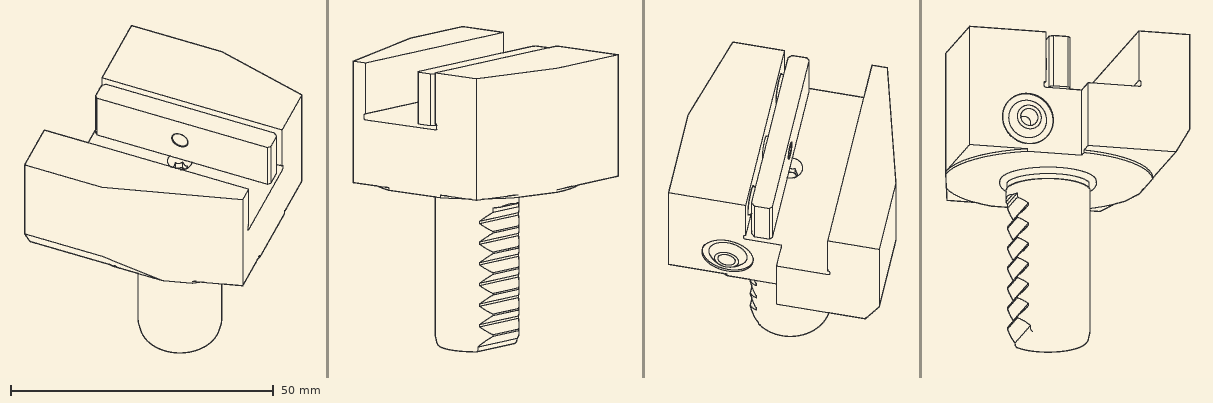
import cadquery as cq
import math


overall_height = 56.0
head_size = 42.0
head_height = 24.0
head_left = -23.0
head_front = -22.0
head_right = head_left + head_size
head_back = head_front + head_size
notch_depth = 5.0
notch_front = -2.0
notched_left = head_left + notch_depth
side_taper = math.tan(math.radians(15))
front_taper_start = -7.1
back_taper_start = 0.55
front_edge_height = 5.2
front_edge_setback = front_edge_height * math.tan(math.radians(30))
seat_radius = head_back
seat_height = 0.5

slot_back = 5.0
slot_front = -12.0
slot_floor = 13.0
relief_depth = 0.4
relief_height = 1.2
relief_radius = 0.35

shank_radius = 8.0
shank_length = overall_height - head_height
neck_radius = 7.8
neck_length = 1.9
lead_in_length = 1.95
lead_in_radius = 7.55
end_fillet = 0.8

tooth_top = 7.0
tooth_depth = 1.6
teeth_start = -4.05
first_valley = -6.7
valley_count = 6
valley_span = 20.0
valley_pitch = valley_span / (valley_count - 1)
valley_flat = 0.45
shoulder_chamfer = 0.4
end_flat = 5.0

seal_section_radius = 0.7
seal_outer_radius = 9.25
seal_ring_radius = seal_outer_radius - seal_section_radius
seal_depth = 0.35

gib_length = 36.0
gib_thickness = 4.1
gib_height = 10.0
gib_gap = 0.9
gib_back_chamfer = 0.7
gib_front_chamfer = 0.5
gib_center_x = (notched_left + head_right) / 2
gib_back = slot_back - gib_gap
gib_floor_gap = 0.55
gib_bottom = slot_floor + gib_floor_gap
gib_hole_radius = 1.55
gib_hole_chamfer = 0.1

screw_axis_z = 18.65
screw_spacing = 26.75
screw_radius = 2.85
screw_tip_radius = 2.1
screw_tip_length = 0.95
screw_tip_bulge = 0.1
screw_length = 10.0
pin_radius = 2.0
pin_length = 10.0

nozzle_y = 8.5
nozzle_z = 6.55
socket_radius = 5.0
collar_recess = 0.4
nozzle_projection = 0.95
nozzle_face_radius = 2.35
ball_radius = 4.4
ball_center_depth = math.sqrt(ball_radius**2 - nozzle_face_radius**2) - nozzle_projection
socket_depth = ball_center_depth + 3.0
bore_mouth_radius = 1.7
bore_end_radius = 1.3
bore_length = 4.0

plug_radius = 2.35
plug_length = 5.0
plug_hex_flats = 2.45
plug_dish_depth = 1.6
plug_hex_depth = 1.5
plug_point_depth = 0.7


def box(x_range, y_range, z_range):
    """Box between the given limits on each axis."""
    (x0, x1), (y0, y1), (z0, z1) = x_range, y_range, z_range
    return cq.Workplane("XY").box(x1 - x0, y1 - y0, z1 - z0, centered=False).translate((x0, y0, z0))


def head_blank():
    """Notched head with tapered front and back sides."""
    front_right = head_front + (head_right - front_taper_start) * side_taper
    back_right = head_back - (head_right - back_taper_start) * side_taper
    return (
        cq.Workplane("XY")
        .moveTo(head_left, head_front)
        .lineTo(front_taper_start, head_front)
        .lineTo(head_right, front_right)
        .lineTo(head_right, back_right)
        .lineTo(back_taper_start, head_back)
        .lineTo(notched_left, head_back)
        .lineTo(notched_left, notch_front)
        .lineTo(head_left, notch_front)
        .close()
        .extrude(head_height)
    )


def front_edge_cut():
    """Wedge below the sloped lower front edge."""
    return (
        cq.Workplane("YZ")
        .moveTo(head_front, 0)
        .lineTo(head_front + front_edge_setback, 0)
        .lineTo(head_front, front_edge_height)
        .close()
        .extrude(head_size)
        .translate((head_left, 0, 0))
    )


def seat_surround():
    """Thin layer around the round seat, removed so that the seat stands proud."""
    layer = box((head_left, head_right), (head_front, head_back), (0, seat_height))
    return layer.cut(cq.Workplane("XY").circle(seat_radius).extrude(seat_height))


def tool_slot():
    """Open slot along X with a rounded relief in both floor corners."""
    across = (head_left, head_right)
    slot = box(across, (slot_front, slot_back), (slot_floor, head_height))
    relief = box(
        across,
        (slot_front - relief_depth, slot_back + relief_depth),
        (slot_floor, slot_floor + relief_height),
    )
    return slot.union(relief.edges("|X").fillet(relief_radius))


def shank():
    """Round shank with a neck, teeth on its back side, a tapered lead-in and a rounded end."""
    lead_in_start = lead_in_length - shank_length
    blank = (
        cq.Workplane("XZ")
        .lineTo(neck_radius, 0)
        .lineTo(neck_radius, -neck_length)
        .lineTo(shank_radius, -neck_length)
        .lineTo(shank_radius, lead_in_start)
        .lineTo(lead_in_radius, -shank_length)
        .lineTo(0, -shank_length)
        .close()
        .revolve(360, (0, 0, 0), (0, 1, 0))
    )
    return blank.cut(serration_cut()).faces("<Z").edges().fillet(end_fillet)


def serration_cut():
    """Material removed behind the shank's toothed side; the tooth flanks are at 45 degrees."""
    half_valley = valley_flat / 2
    valley_y = tooth_top - tooth_depth
    profile = (
        cq.Workplane("YZ")
        .moveTo(shank_radius, teeth_start + shoulder_chamfer)
        .lineTo(shank_radius - shoulder_chamfer, teeth_start)
        .lineTo(tooth_top, teeth_start)
    )
    for i in range(valley_count):
        valley_z = first_valley - i * valley_pitch
        profile = (
            profile.lineTo(tooth_top, valley_z + half_valley + tooth_depth)
            .lineTo(valley_y, valley_z + half_valley)
            .lineTo(valley_y, valley_z - half_valley)
            .lineTo(tooth_top, valley_z - half_valley - tooth_depth)
        )
    last_flank = first_valley - valley_count * valley_pitch + half_valley + tooth_depth
    return (
        profile.lineTo(tooth_top, last_flank)
        .lineTo(end_flat, last_flank - (tooth_top - end_flat))
        .lineTo(end_flat, -shank_length)
        .lineTo(shank_radius, -shank_length)
        .close()
        .extrude(shank_radius, both=True)
    )


def make_seal():
    """Round-section ring around the neck, partly sunk into the head."""
    return (
        cq.Workplane("XZ")
        .center(seal_ring_radius, -seal_depth)
        .circle(seal_section_radius)
        .revolve(360, (-seal_ring_radius, 0, 0), (-seal_ring_radius, 1, 0))
    )


def make_gib():
    """Clamping bar with chamfered upright edges and a through hole on the pin axis."""
    half_length = gib_length / 2
    bar = box(
        (gib_center_x - half_length, gib_center_x + half_length),
        (gib_back - gib_thickness, gib_back),
        (gib_bottom, gib_bottom + gib_height),
    )
    hole = (
        cq.Workplane("XZ", origin=(0, gib_back, screw_axis_z))
        .circle(gib_hole_radius)
        .extrude(gib_thickness)
    )
    mouth = (
        cq.Workplane("XZ", origin=(0, gib_back - gib_thickness + gib_hole_chamfer, screw_axis_z))
        .circle(gib_hole_radius)
        .workplane(offset=gib_hole_chamfer)
        .circle(gib_hole_radius + gib_hole_chamfer)
        .loft()
    )
    bar = bar.edges("|Z and >Y").chamfer(gib_back_chamfer)
    bar = bar.edges("|Z and <Y").chamfer(gib_front_chamfer)
    return bar.cut(hole).cut(mouth)


def make_set_screw(x):
    """Set screw with a domed tip that bears on the back of the gib."""
    dome_middle = (screw_radius + screw_tip_radius) / 2 + screw_tip_bulge
    return (
        cq.Workplane("XY")
        .lineTo(screw_tip_radius, 0)
        .threePointArc((dome_middle, screw_tip_length / 2), (screw_radius, screw_tip_length))
        .lineTo(screw_radius, screw_length)
        .lineTo(0, screw_length)
        .close()
        .revolve(360, (0, 0, 0), (0, 1, 0))
        .translate((x, gib_back, screw_axis_z))
    )


def make_pin():
    """Plain pin from the head to the back of the gib."""
    return (
        cq.Workplane("XZ", origin=(0, gib_back + pin_length, screw_axis_z))
        .circle(pin_radius)
        .extrude(pin_length)
    )


def nozzle_cylinder(radius, start, length):
    """Cylinder along the nozzle axis that starts at a depth below the notched left side."""
    return (
        cq.Workplane("YZ", origin=(notched_left + start, nozzle_y, nozzle_z))
        .circle(radius)
        .extrude(length)
    )


def nozzle_sphere():
    """Full ball of the nozzle."""
    return cq.Workplane("XY").sphere(ball_radius).translate(
        (notched_left + ball_center_depth, nozzle_y, nozzle_z)
    )


def make_nozzle_collar():
    """Collar that holds the ball in its socket."""
    collar = nozzle_cylinder(socket_radius, collar_recess, socket_depth - collar_recess)
    return collar.cut(nozzle_sphere())


def make_nozzle_ball():
    """Ball with a flat face, cut off at the socket floor, and a tapered bore with a conical end."""
    envelope = nozzle_cylinder(ball_radius, -nozzle_projection, nozzle_projection + socket_depth)
    bore = (
        cq.Workplane("XY")
        .lineTo(0, bore_mouth_radius)
        .lineTo(bore_length, bore_end_radius)
        .lineTo(bore_length + bore_end_radius / 2, 0)
        .close()
        .revolve(360, (0, 0, 0), (1, 0, 0))
        .translate((notched_left - nozzle_projection, nozzle_y, nozzle_z))
    )
    return nozzle_sphere().intersect(envelope).cut(bore)


def plug_blank():
    """Cylinder that fills the plug hole in the slot floor."""
    return cq.Workplane("XY", origin=(0, 0, slot_floor)).circle(plug_radius).extrude(-plug_length)


def make_plug():
    """Screw plug with a dished top that leads into a hexagon socket with a conical end."""
    hex_corner_radius = plug_hex_flats / 2 / math.cos(math.pi / 6)
    dish = (
        cq.Workplane("XZ")
        .lineTo(plug_radius, 0)
        .lineTo(0, -plug_dish_depth * plug_radius / (plug_radius - hex_corner_radius))
        .close()
        .revolve(360, (0, 0, 0), (0, 1, 0))
        .translate((0, 0, slot_floor))
    )
    socket = (
        cq.Workplane("XY", origin=(0, 0, slot_floor))
        .transformed(rotate=(0, 0, 30))
        .polygon(6, 2 * hex_corner_radius)
        .extrude(-plug_dish_depth - plug_hex_depth)
    )
    socket_floor = slot_floor - plug_dish_depth - plug_hex_depth
    point = (
        cq.Workplane("XZ")
        .lineTo(plug_hex_flats / 2, 0)
        .lineTo(0, -plug_point_depth)
        .close()
        .revolve(360, (0, 0, 0), (0, 1, 0))
        .translate((0, 0, socket_floor))
    )
    return plug_blank().cut(dish).cut(socket).cut(point)


def make_housing(inserts):
    """Head and shank in one piece, with a fitting hole for every inserted body."""
    head = head_blank().cut(front_edge_cut()).cut(seat_surround()).cut(tool_slot())
    housing = head.union(shank())
    housing = housing.cut(nozzle_cylinder(socket_radius, 0, socket_depth))
    housing = housing.cut(plug_blank())
    for insert in inserts:
        housing = housing.cut(insert)
    return housing


seal = make_seal()
gib = make_gib()
set_screws = [make_set_screw(gib_center_x + side * screw_spacing / 2) for side in (-1, 1)]
pin = make_pin()
nozzle_collar = make_nozzle_collar()
nozzle_ball = make_nozzle_ball()
plug = make_plug()
housing = make_housing([seal, pin, *set_screws])

bodies = [housing, seal, gib, *set_screws, pin, nozzle_collar, nozzle_ball, plug]
result = cq.Compound.makeCompound([body.solids().val() for body in bodies])